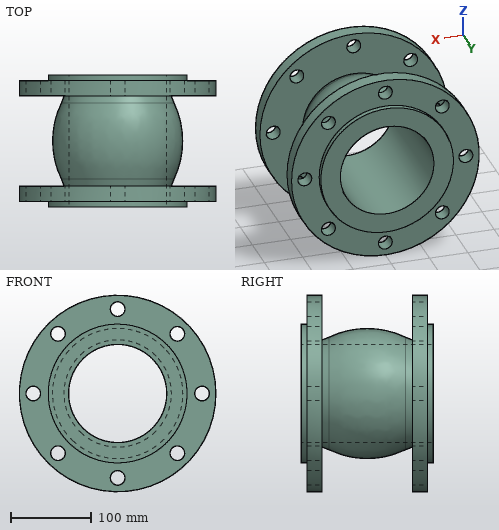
import cadquery as cq

flange_diameter = 245.0
overall_length = 165.0
bore_diameter = 122.0

raised_face_diameter = 173.0
raised_face_height = 7.0
flange_thickness = 19.0

bolt_hole_count = 8
bolt_hole_diameter = 18.0
bolt_circle_diameter = 210.2

body_diameter = 162.2
body_end_diameter = 140.6
neck_diameter = 133.8
neck_length = 8.8

half_length = overall_length / 2
flange_outer_y = half_length - raised_face_height
flange_inner_y = flange_outer_y - flange_thickness
body_end_y = flange_inner_y - neck_length


def make_flange(side):
    """Flange and raised face on the +Y (side = 1) or -Y (side = -1) end."""
    plate = (
        cq.Workplane("XZ", origin=(0, side * flange_inner_y, 0))
        .circle(flange_diameter / 2)
        .extrude(-side * flange_thickness)
    )
    raised_face = (
        cq.Workplane("XZ", origin=(0, side * flange_outer_y, 0))
        .circle(raised_face_diameter / 2)
        .extrude(-side * raised_face_height)
    )
    return plate.union(raised_face)


def make_body():
    """Solid of revolution: cone, outward arc, cone."""
    return (
        cq.Workplane("XY")
        .moveTo(0, -flange_inner_y)
        .lineTo(neck_diameter / 2, -flange_inner_y)
        .lineTo(body_end_diameter / 2, -body_end_y)
        .threePointArc((body_diameter / 2, 0), (body_end_diameter / 2, body_end_y))
        .lineTo(neck_diameter / 2, flange_inner_y)
        .lineTo(0, flange_inner_y)
        .close()
        .revolve(360, (0, 0, 0), (0, 1, 0))
    )


def make_bore():
    """Straight bore through the whole length."""
    return (
        cq.Workplane("XZ", origin=(0, half_length, 0))
        .circle(bore_diameter / 2)
        .extrude(overall_length)
    )


def make_bolt_holes(side):
    """Ring of bolt holes through one flange, starting on the X axis."""
    return (
        cq.Workplane("XZ", origin=(0, side * flange_inner_y, 0))
        .polarArray(bolt_circle_diameter / 2, 0, 360, bolt_hole_count)
        .circle(bolt_hole_diameter / 2)
        .extrude(-side * flange_thickness)
    )


result = make_body()
for side in (-1, 1):
    result = result.union(make_flange(side).cut(make_bolt_holes(side)))
result = result.cut(make_bore())